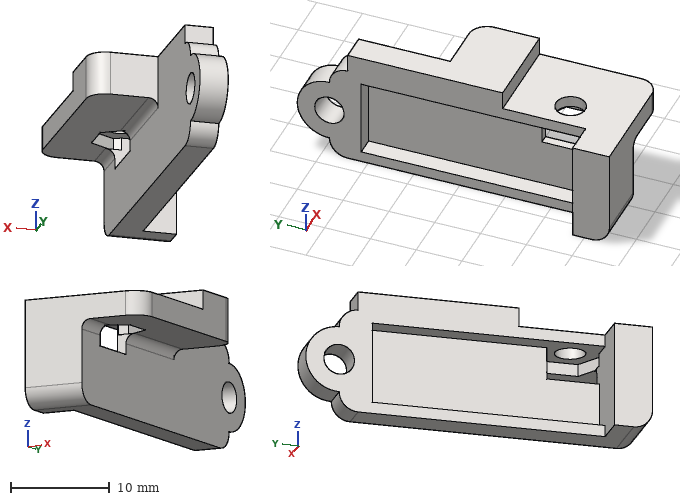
import cadquery as cq
import math

wall_left = 3.5
wall_right = 6.5
wall_height = 11.0
corner_radius = 2.0

lug_radius = 3.5
hole_diameter = 3.2
total_length = 35.5
wall_length = total_length - lug_radius
lug_center_z = wall_height / 2

block_length = 4.0

total_width = 13.5
total_height = 13.0
plate_length = 20.0
plate_bottom = 8.5
inner_fillet_radius = 1.0
plate_hole_y = 6.85
pad_front = 13.05
pad_back = wall_length - corner_radius

pocket_back = 28.5
pocket_bottom = 1.2
pocket_top = 9.75
pocket_depth = 2.0
window_back = 9.6
window_bottom = 6.4

nut_across_flats = 5.6


def box_between(x_range, y_range, z_range):
    """Axis-aligned box given by its limits along each axis."""
    (x0, x1), (y0, y1), (z0, z1) = x_range, y_range, z_range
    return cq.Workplane("XY").box(x1 - x0, y1 - y0, z1 - z0, centered=False).translate((x0, y0, z0))


def cylinder_along_x(radius):
    """Cylinder on the lug axis, as long as the wall is thick."""
    return (
        cq.Workplane("YZ", origin=(wall_left, wall_length, lug_center_z))
        .circle(radius)
        .extrude(wall_right - wall_left)
    )


def make_wall():
    """Wall and front block with rounded ends, plus the lug."""
    wall = box_between((0, wall_right), (0, wall_length), (0, wall_height))
    wall = wall.edges("|X and <Z").fillet(corner_radius)
    wall = wall.edges("|X and >Y and >Z").fillet(corner_radius)
    wall = wall.cut(box_between((0, wall_left), (block_length, wall_length), (0, wall_height)))
    return wall.union(cylinder_along_x(lug_radius))


def make_plate():
    """Plate and the pad, with the two outer vertical corners rounded."""
    plate = box_between((wall_left, total_width), (0, plate_length), (plate_bottom, total_height))
    plate = plate.edges("|Z and >X").fillet(corner_radius)
    return plate.cut(box_between((0, total_width), (0, pad_front), (wall_height, total_height)))


def make_wall_pad():
    """Stretch of the pad that runs along the top of the wall."""
    return box_between((wall_left, wall_right), (pad_front, pad_back), (wall_height, total_height))


def fillet_inner_corner(body):
    """Round the inside corner between the plate underside and the wall."""
    corner = cq.selectors.NearestToPointSelector((wall_right, plate_length / 2, plate_bottom))
    return body.edges("|Y").edges(corner).fillet(inner_fillet_radius)


def make_pocket():
    """Pocket that opens toward -X and ends at the front block."""
    return box_between(
        (wall_left, wall_left + pocket_depth), (block_length, pocket_back), (pocket_bottom, pocket_top)
    )


def make_window():
    """Opening through the wall, which also clears the inside fillet below the plate."""
    y_range = (block_length, window_back)
    through_wall = box_between((wall_left, wall_right), y_range, (window_bottom, pocket_top))
    through_fillet = box_between(
        (wall_right, wall_right + inner_fillet_radius), y_range, (window_bottom, plate_bottom)
    )
    return through_wall.union(through_fillet)


def make_nut_recess():
    """Hexagonal recess with one flat facing the wall and one facing away from it."""
    across_corners = nut_across_flats / math.cos(math.pi / 6)
    hexagon = (
        cq.Workplane("XY")
        .polygon(6, across_corners)
        .extrude(pocket_top - plate_bottom)
        .rotate((0, 0, 0), (0, 0, 1), 30)
    )
    return hexagon.translate((wall_right, plate_hole_y, plate_bottom))


def make_plate_hole():
    """Vertical hole from the plate top down into the window."""
    return (
        cq.Workplane("XY", origin=(wall_right, plate_hole_y, window_bottom))
        .circle(hole_diameter / 2)
        .extrude(total_height - window_bottom)
    )


body = make_wall().union(make_plate()).union(make_wall_pad())
body = fillet_inner_corner(body)
body = body.cut(cylinder_along_x(hole_diameter / 2))
body = body.cut(make_pocket()).cut(make_window())
result = body.cut(make_nut_recess()).cut(make_plate_hole())